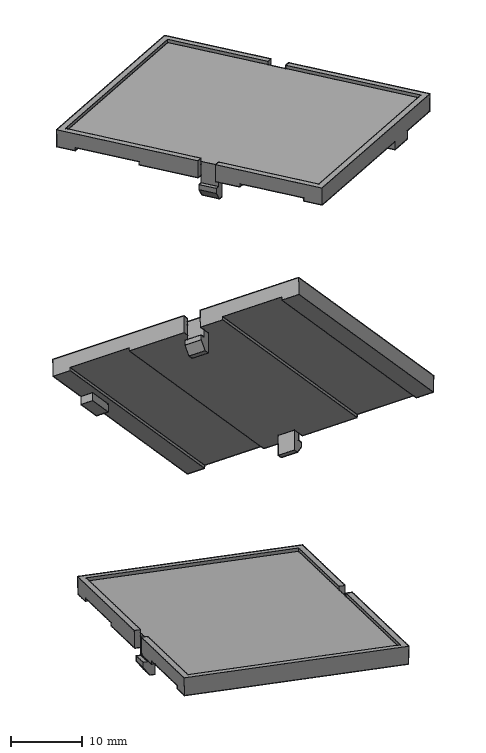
import cadquery as cq

LENGTH = 41.6
WIDTH = 33.8
FRAME_HEIGHT = 2.7
RIM = 0.95
SIDE_DRAFT = 0.1

RECESS_DEPTH = 0.5
RECESS_LENGTH = 10.0
RECESS_OFFSET = 12.9

TAB_LENGTH = 2.0
TAB_WIDTH = 3.9
TAB_HEIGHT = 1.3
TAB_CENTER_Y = 7.9

PANEL_DROP = 0.5
PANEL_THICKNESS = 0.5
PANEL_LENGTH = LENGTH - 2 * RIM
PANEL_WIDTH = WIDTH - 2 * RIM
PANEL_BOTTOM = -PANEL_DROP - PANEL_THICKNESS

CLIP_WIDTH = 2.75
CLIP_OFFSET = 2.75
CLIP_BOTTOM = -5.9
STEM_THICKNESS = 1.12
HOOK_REACH = 0.65
HOOK_TOP = -3.83
HOOK_BEVEL_TOP = -4.6
CLIP_TIP_THICKNESS = 0.8


def block(length, width, bottom, top, x=0, y=0):
    """Box centred at (x, y), spanning bottom to top in Z."""
    return (
        cq.Workplane("XY", origin=(x, y, bottom))
        .rect(length, width)
        .extrude(top - bottom)
    )


def rotate_half_turn(body):
    return body.rotate((0, 0, 0), (0, 0, 1), 180)


def make_clip():
    """Snap clip on the -Y side, with its hook pointing outward."""
    outer = -PANEL_WIDTH / 2
    inner = outer + STEM_THICKNESS
    hook = outer - HOOK_REACH
    profile = [
        (inner, PANEL_BOTTOM),
        (outer, PANEL_BOTTOM),
        (outer, HOOK_TOP),
        (hook, HOOK_TOP),
        (hook, HOOK_BEVEL_TOP),
        (inner - CLIP_TIP_THICKNESS, CLIP_BOTTOM),
        (inner, CLIP_BOTTOM),
    ]
    return (
        cq.Workplane("YZ", origin=(CLIP_OFFSET - CLIP_WIDTH / 2, 0, 0))
        .polyline(profile)
        .close()
        .extrude(CLIP_WIDTH)
    )


def make_frame():
    """Tray with drafted long sides, underside recesses, clip notches and a locating tab."""
    half_top = WIDTH / 2
    half_bottom = half_top - SIDE_DRAFT
    frame = (
        cq.Workplane("YZ", origin=(-LENGTH / 2, 0, 0))
        .polyline([
            (-half_top, 0),
            (half_top, 0),
            (half_bottom, -FRAME_HEIGHT),
            (-half_bottom, -FRAME_HEIGHT),
        ])
        .close()
        .extrude(LENGTH)
    )
    for side in (-1, 1):
        frame = frame.cut(
            block(
                RECESS_LENGTH, WIDTH, -FRAME_HEIGHT, RECESS_DEPTH - FRAME_HEIGHT,
                x=side * RECESS_OFFSET,
            )
        )
    frame = frame.cut(block(PANEL_LENGTH, PANEL_WIDTH, PANEL_BOTTOM, 0))

    notch_depth = RIM + STEM_THICKNESS
    notch = block(
        CLIP_WIDTH, notch_depth, -FRAME_HEIGHT, 0,
        x=CLIP_OFFSET, y=(notch_depth - WIDTH) / 2,
    )
    frame = frame.cut(notch).cut(rotate_half_turn(notch))

    tab = block(
        TAB_LENGTH, TAB_WIDTH, -FRAME_HEIGHT - TAB_HEIGHT, -FRAME_HEIGHT,
        x=(LENGTH - TAB_LENGTH) / 2, y=TAB_CENTER_Y,
    )
    return frame.union(tab)


def make_panel():
    """Flat panel with two snap clips, set diagonally opposite each other."""
    clip = make_clip()
    panel = block(PANEL_LENGTH, PANEL_WIDTH, PANEL_BOTTOM, -PANEL_DROP)
    return panel.union(clip).union(rotate_half_turn(clip))


frame = make_frame()
panel = make_panel()
result = cq.Compound.makeCompound([frame.val(), panel.val()])